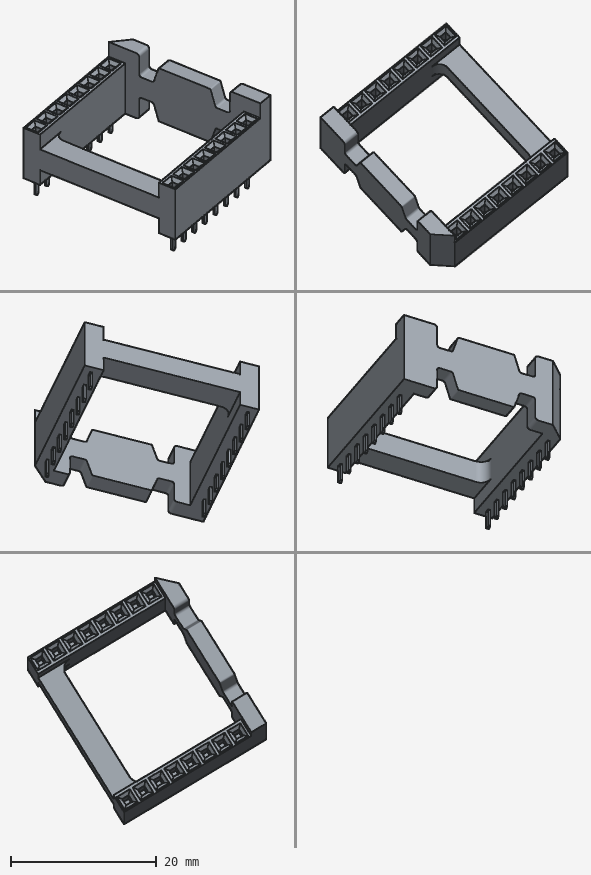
import cadquery as cq

width = 25.4
depth = 22.89
plate_thickness = 2.41
plate_height = 11.0
plate_middle_z = plate_height / 2
wall_thickness = 2.77
wall_height = 8.5
wall_length = depth - plate_thickness

bar_depth = 3.5
bar_height = 3.53
bar_corner_radius = 1.5
bar_base = (wall_height - bar_height) / 2

leg_inner_x = 7.57
web_height = 3.48
tab_height = 9.0
tab_half_width_end = 4.35
tab_half_width_root = 5.2
leg_radius = 0.5
tab_radius = 0.25
notch_radius = 0.4
plate_chamfer = 2.4

contact_count = 8
contact_pitch = 2.55
row_x = 11.43
first_contact_y = 1.3
socket_mouth = 2.08
socket_bore = 1.02
funnel_depth = (socket_mouth - socket_bore) / 2
socket_depth = 3.05
pin_length = 3.0
pin_width = 0.7
pin_thickness = 0.3
tip_height = 0.25
tip_width = 0.2


def box(x_min, x_max, y_min, y_max, z_min, z_max):
    """Axis-aligned block between the given limits."""
    size = (x_max - x_min, y_max - y_min, z_max - z_min)
    return cq.Workplane("XY").box(*size, centered=False).translate((x_min, y_min, z_min))


def notch(side, end):
    """Cutter between one leg and the tab, at the top (end=1) or bottom (end=-1) of the back plate."""
    floor_z = plate_middle_z + end * web_height / 2
    tab_z = plate_middle_z + end * tab_height / 2
    edge_z = plate_middle_z + end * plate_height / 2
    corners = [
        (0, tab_z),
        (tab_half_width_end, tab_z),
        (tab_half_width_root, floor_z),
        (leg_inner_x, floor_z),
        (leg_inner_x, edge_z),
        (0, edge_z),
    ]
    outline = [(side * x, z) for x, z in corners]
    return cq.Workplane("XZ", origin=(0, depth, 0)).polyline(outline).close().extrude(plate_thickness)


def round_edges(plate, x, z_offset, radius):
    """Round the four plate edges at +/-x, above and below the middle height by z_offset."""
    reach = 0.03
    for side in (-1, 1):
        for end in (-1, 1):
            edge_x = side * x
            edge_z = plate_middle_z + end * z_offset
            around_edge = cq.selectors.BoxSelector(
                (edge_x - reach, wall_length, edge_z - reach),
                (edge_x + reach, depth, edge_z + reach),
            )
            plate = plate.edges(around_edge).fillet(radius)
    return plate


def back_plate():
    """Plate with two legs, a tapered centre tab and rounded notches, bevelled at its left back corner."""
    plate = box(-width / 2, width / 2, wall_length, depth, 0, plate_height)
    for side in (-1, 1):
        for end in (-1, 1):
            plate = plate.cut(notch(side, end))
    plate = round_edges(plate, leg_inner_x, plate_height / 2, leg_radius)
    plate = round_edges(plate, tab_half_width_end, tab_height / 2, tab_radius)
    plate = round_edges(plate, leg_inner_x, web_height / 2, notch_radius)
    plate = round_edges(plate, tab_half_width_root, web_height / 2, notch_radius)
    bevel = (
        cq.Workplane("XY")
        .moveTo(-width / 2, depth)
        .lineTo(-width / 2 + plate_chamfer, depth)
        .lineTo(-width / 2, wall_length)
        .close()
        .extrude(plate_height)
    )
    return plate.cut(bevel)


def front_bar():
    """Bar joining the walls, with a concave corner where it meets each one."""
    inner_x = width / 2 - wall_thickness
    bar = box(-inner_x, inner_x, 0, bar_depth + bar_corner_radius, bar_base, bar_base + bar_height)
    opening = box(-inner_x, inner_x, bar_depth, wall_length, 0, wall_height)
    return bar.cut(opening.edges("|Z and <Y").fillet(bar_corner_radius))


def socket_cutter():
    """Square bore with a tapered mouth, opening at z = 0."""
    funnel = (
        cq.Workplane("XY")
        .rect(socket_mouth, socket_mouth)
        .workplane(offset=-funnel_depth)
        .rect(socket_bore, socket_bore)
        .loft(ruled=True)
    )
    bore = cq.Workplane("XY").rect(socket_bore, socket_bore).extrude(-socket_depth)
    return funnel.union(bore)


def pin():
    """Flat pin hanging below z = 0 with a tapered tip."""
    shoulder_z = tip_height - pin_length
    outline = [
        (-pin_width / 2, 0),
        (-pin_width / 2, shoulder_z),
        (-tip_width / 2, -pin_length),
        (tip_width / 2, -pin_length),
        (pin_width / 2, shoulder_z),
        (pin_width / 2, 0),
    ]
    return cq.Workplane("YZ").polyline(outline).close().extrude(pin_thickness / 2, both=True)


result = back_plate().union(front_bar())
for side in (-1, 1):
    outer_x = side * width / 2
    inner_x = side * (width / 2 - wall_thickness)
    wall = box(min(outer_x, inner_x), max(outer_x, inner_x), 0, wall_length, 0, wall_height)
    result = result.union(wall)

for side in (-1, 1):
    for index in range(contact_count):
        x = side * row_x
        y = first_contact_y + index * contact_pitch
        result = result.cut(socket_cutter().translate((x, y, wall_height)))
        result = result.union(pin().translate((x, y, 0)))